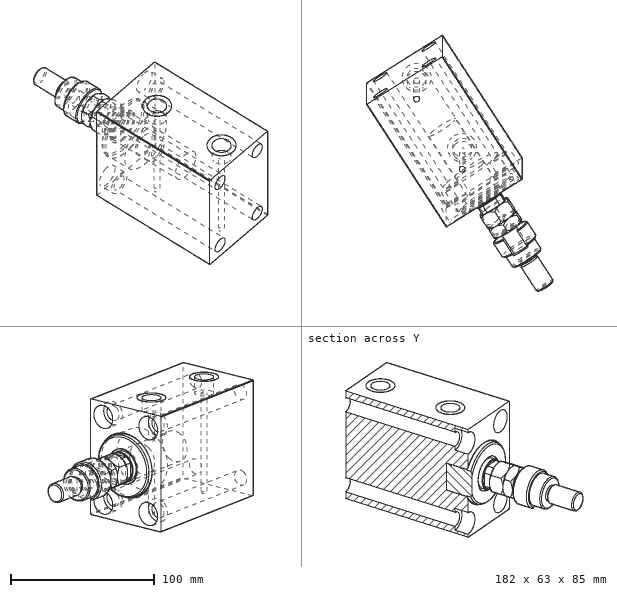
import cadquery as cq
import math


BLOCK_LENGTH = 103.0
BLOCK_WIDTH = 63.0
BLOCK_HEIGHT = 85.0
BLOCK_EDGE_CHAMFER = 0.5
BOLT_SPACING_Y = 40.0
BOLT_SPACING_Z = 63.0
BOLT_HOLE_DIAMETER = 11.0
BOLT_HEAD_DIAMETER = 16.7
BOLT_HEAD_DEPTH = 11.0
PORT_POSITIONS = (28.5, 87.4)
PORT_DIAMETER = 13.3
PORT_DEPTH = 12.0
PORT_SEAT_DIAMETER = 20.2
PORT_SEAT_DEPTH = 0.2
ORIFICE_DIAMETER = 4.0

GLAND_RADIUS = 22.5
GLAND_PROJECTION = 3.5
GLAND_DEPTH = 18.2
GLAND_CHAMFER = 1.1
GLAND_SEAT_CHAMFER = 1.0
WIPER_RECESS_RADIUS = 12.7
WIPER_RECESS_DEPTH = 1.1

ROD_RADIUS = 11.1
ROD_CHAMFER = 0.5
ROD_DEPTH = 54.6
ROD_SHOULDER = -6.2
ROD_NECK_RADIUS = 10.4
ROD_NECK_FLATS = 18.0
ROD_END = -11.8

HEX_ACROSS_FLATS = 22.2
HEX_CHAMFER_LENGTH = 1.6
HEX_JOINT = -23.1
HEX_FRONT = -31.1
PIN_NECK_RADIUS = 5.8
PIN_CONE_FRONT = -32.4
PIN_CONE_RADIUS = 6.2

HOLDER_BACK = -33.1
RING_RADIUS = 14.0
RING_FRONT = -45.9
RING_FRONT_CHAMFER = 1.1
RING_BACK_CHAMFER = 0.7
SLOT_END = -47.3
COLLAR_RADIUS = 11.8
COLLAR_FRONT = -55.5
COLLAR_CHAMFER = 1.0
STUD_RADIUS = 7.0
STUD_NECK_RADIUS = 5.8
STUD_NECK_FRONT = -57.0
STUD_CHAMFER = 1.0
OVERALL_LENGTH = 182.0
STUD_FRONT = BLOCK_LENGTH - OVERALL_LENGTH


def cylinder_x(x_start, x_end, radius):
    """Solid cylinder on the X axis between two x positions."""
    return cq.Workplane("YZ", origin=(x_start, 0, 0)).circle(radius).extrude(x_end - x_start)


def turned(profile):
    """Revolve (x, radius) points about the X axis, closing the outline along the axis."""
    outline = [(profile[0][0], 0), *profile, (profile[-1][0], 0)]
    return cq.Workplane("XZ").polyline(outline).close().revolve(360, (0, 0, 0), (1, 0, 0))


def make_block():
    block = (
        cq.Workplane("XY")
        .box(BLOCK_LENGTH, BLOCK_WIDTH, BLOCK_HEIGHT)
        .translate((BLOCK_LENGTH / 2, 0, 0))
        .edges("|X")
        .chamfer(BLOCK_EDGE_CHAMFER)
    )

    block = (
        block.faces("<X")
        .workplane(origin=(0, 0, 0))
        .rect(BOLT_SPACING_Y, BOLT_SPACING_Z, forConstruction=True)
        .vertices()
        .cboreHole(BOLT_HOLE_DIAMETER, BOLT_HEAD_DIAMETER, BOLT_HEAD_DEPTH)
    )

    port_steps = (
        (PORT_SEAT_DIAMETER, PORT_SEAT_DEPTH),
        (PORT_DIAMETER, PORT_DEPTH),
        (ORIFICE_DIAMETER, BLOCK_HEIGHT),
    )
    for diameter, depth in port_steps:
        top = cq.Workplane("XY", origin=(0, 0, BLOCK_HEIGHT / 2))
        ports = top.pushPoints([(x, 0) for x in PORT_POSITIONS]).circle(diameter / 2).extrude(-depth)
        block = block.cut(ports)

    bore = turned([
        (0, GLAND_RADIUS + GLAND_SEAT_CHAMFER),
        (GLAND_SEAT_CHAMFER, GLAND_RADIUS),
        (GLAND_DEPTH, GLAND_RADIUS),
        (GLAND_DEPTH, ROD_RADIUS),
        (ROD_DEPTH, ROD_RADIUS),
    ])
    return block.cut(bore)


def make_gland():
    gland = cylinder_x(-GLAND_PROJECTION, GLAND_DEPTH, GLAND_RADIUS).faces("<X").chamfer(GLAND_CHAMFER)
    rod_bore = cylinder_x(-GLAND_PROJECTION, GLAND_DEPTH, ROD_RADIUS)
    wiper_recess = cylinder_x(-GLAND_PROJECTION, WIPER_RECESS_DEPTH - GLAND_PROJECTION, WIPER_RECESS_RADIUS)
    return gland.cut(rod_bore).cut(wiper_recess)


def make_rod():
    rod = turned([
        (ROD_SHOULDER, ROD_RADIUS - ROD_CHAMFER),
        (ROD_SHOULDER + ROD_CHAMFER, ROD_RADIUS),
        (ROD_DEPTH, ROD_RADIUS),
    ])
    neck = cylinder_x(ROD_END, ROD_SHOULDER, ROD_NECK_RADIUS)
    square = (
        cq.Workplane("YZ", origin=(ROD_END, 0, 0))
        .rect(ROD_NECK_FLATS, ROD_NECK_FLATS)
        .extrude(ROD_SHOULDER - ROD_END)
    )
    return rod.union(neck.intersect(square))


def make_hexagon(x_front, x_back):
    """Hexagon on the X axis with corners up and down, its corners turned off at both ends."""
    flat_radius = HEX_ACROSS_FLATS / 2
    corner_radius = flat_radius / math.cos(math.pi / 6)
    prism = (
        cq.Workplane("YZ", origin=(x_front, 0, 0))
        .polygon(6, 2 * corner_radius)
        .extrude(x_back - x_front)
        .rotate((0, 0, 0), (1, 0, 0), 90)
    )
    envelope = turned([
        (x_front, flat_radius),
        (x_front + HEX_CHAMFER_LENGTH, corner_radius),
        (x_back - HEX_CHAMFER_LENGTH, corner_radius),
        (x_back, flat_radius),
    ])
    return prism.intersect(envelope)


def make_coupling_pin():
    neck = turned([
        (SLOT_END, PIN_NECK_RADIUS),
        (PIN_CONE_FRONT, PIN_NECK_RADIUS),
        (HEX_FRONT, PIN_CONE_RADIUS),
    ])
    short_hexagon = make_hexagon(HEX_FRONT, HEX_JOINT)
    long_hexagon = make_hexagon(HEX_JOINT, ROD_END)
    return neck.union(short_hexagon).union(long_hexagon)


def make_coupling_holder():
    holder = turned([
        (STUD_FRONT, STUD_RADIUS - STUD_CHAMFER),
        (STUD_FRONT + STUD_CHAMFER, STUD_RADIUS),
        (STUD_NECK_FRONT - (STUD_RADIUS - STUD_NECK_RADIUS), STUD_RADIUS),
        (STUD_NECK_FRONT, STUD_NECK_RADIUS),
        (COLLAR_FRONT, STUD_NECK_RADIUS),
        (COLLAR_FRONT, COLLAR_RADIUS - COLLAR_CHAMFER),
        (COLLAR_FRONT + COLLAR_CHAMFER, COLLAR_RADIUS),
        (RING_FRONT, COLLAR_RADIUS),
        (RING_FRONT, RING_RADIUS - RING_FRONT_CHAMFER),
        (RING_FRONT + RING_FRONT_CHAMFER, RING_RADIUS),
        (HOLDER_BACK - RING_BACK_CHAMFER, RING_RADIUS),
        (HOLDER_BACK, RING_RADIUS - RING_BACK_CHAMFER),
    ])
    slot_sides = (
        cq.Workplane("YZ", origin=(SLOT_END, 0, 0))
        .rect(2 * PIN_NECK_RADIUS, 2 * RING_RADIUS)
        .extrude(HOLDER_BACK - SLOT_END)
        .translate((0, 0, -RING_RADIUS))
    )
    slot = slot_sides.union(cylinder_x(SLOT_END, HOLDER_BACK, PIN_NECK_RADIUS))
    return holder.cut(slot)


block = make_block()
gland = make_gland()
rod = make_rod()
coupling_pin = make_coupling_pin()
coupling_holder = make_coupling_holder()

result = cq.Compound.makeCompound([
    block.val(),
    gland.val(),
    rod.val(),
    coupling_pin.val(),
    coupling_holder.val(),
])